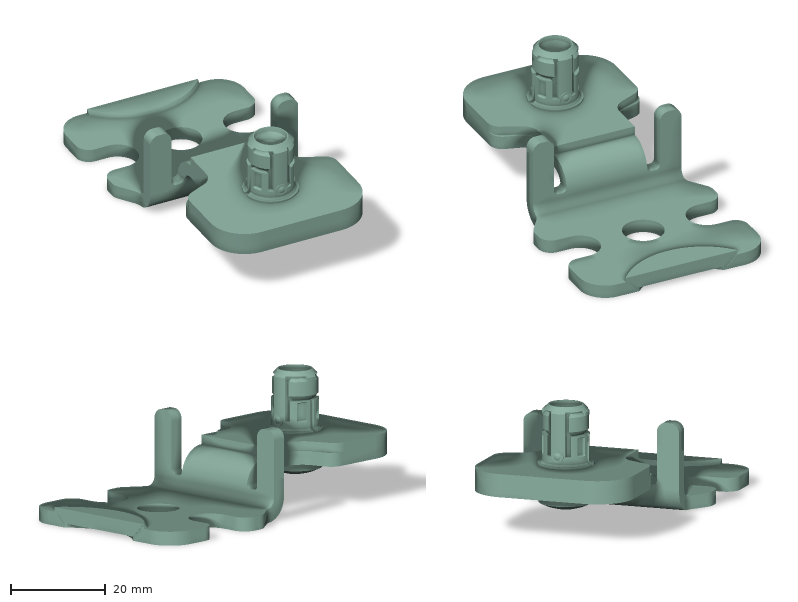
import cadquery as cq
import math

SHEET = 3.0
TOTAL_LENGTH = 74.0
BASE_HALF_WIDTH = 21.0
LEG_FRONT_X = 35.0
LEG_BACK_X = LEG_FRONT_X + SHEET
LEG_TOP_Z = 19.5
LEG_HALF_WIDTH = 17.5
LEG_WIDTH = 5.0
LEG_TIP_RADIUS = 2.0
LOWER_BEND_RADIUS = 2.0
UPPER_BEND_RADIUS = 3.0
LOWER_BEND_X = LEG_FRONT_X - LOWER_BEND_RADIUS
UPPER_BEND_X = LEG_BACK_X + UPPER_BEND_RADIUS
TONGUE_BOTTOM_Z = 9.0
TONGUE_TOP_Z = TONGUE_BOTTOM_Z + SHEET
UPPER_BEND_Z = TONGUE_BOTTOM_Z - UPPER_BEND_RADIUS
LEG_SLOT_CORNER_RADIUS = 1.0

BASE_CORNER_RADIUS = 6.0
BASE_EDGE_RADIUS = 3.0
SHOULDER_X = 28.0
HOLE_X = 18.0
HOLE_DIAMETER = 9.0
NOTCH_CENTRE_Y = 15.0

EMBOSS_HEIGHT = 1.0
EMBOSS_DEPTH_X = 7.0
EMBOSS_RADIUS = 17.5
EMBOSS_DRAFT = 0.6
EMBOSS_HALF_WIDTH = 13.1
EMBOSS_POCKET_HALF_WIDTH = 10.0
EMBOSS_POCKET_HEIGHT = 0.9
EMBOSS_MARK_DEPTH = 0.1
EMBOSS_CENTRE_X = EMBOSS_DEPTH_X - EMBOSS_RADIUS

NECK_HALF_WIDTH = 9.5
HEAD_HALF_WIDTH = LEG_HALF_WIDTH
HEAD_CORNER_RADIUS = 8.0
NECK_INNER_RADIUS = 4.0
NECK_OUTER_RADIUS = 3.0
NECK_END_X = 50.75
TONGUE_HEAD_X = 53.1
PAD_HEAD_X = 54.25

PAD_THICKNESS = 2.0
PAD_TOP_Z = TONGUE_TOP_Z + PAD_THICKNESS

FASTENER_X = 59.5
PIN_RADIUS = 3.9
PIN_HEAD_RADIUS = 6.0
PIN_HEAD_EDGE_RADIUS = 5.75
PIN_HEAD_EDGE_Z = 5.9
PIN_HEAD_BOTTOM_Z = 4.4
DRIVE_SLOT_WIDTH = 1.1
DRIVE_SLOT_DEPTH = 0.6
BAND_RADIUS = 4.9
BAND_BOTTOM_Z = 21.8
BAND_TOP_Z = 24.9
BAND_CHAMFER = 0.7
PIN_NECK_RADIUS = 4.0
DISH_RADIUS = 3.25
DISH_FLOOR_RADIUS = 2.25
DISH_FLOOR_Z = 24.9
PIN_RELIEF_HALF_WIDTH = 2.3

GROMMET_RADIUS = 5.05
FLANGE_RADIUS = 6.0
FLANGE_THICKNESS = 0.4
FLANGE_CHAMFER = 0.4
COLLAR_TOP_Z = 20.8
ARM_INNER_RADIUS = 4.15
ARM_HALF_WIDTH = 1.6
ARM_SLOT_HALF_WIDTH = 2.7
ARM_SLOT_BOTTOM_Z = 16.4
SLIT_WIDTH = 1.1
WINDOW_WIDTH = 2.3
WINDOW_DEPTH = 0.7
WINDOW_TAPER = 20.0
WINDOW_BOTTOM_Z = 16.3
WINDOW_TOP_Z = 20.5
WINDOW_CORNER_RADIUS = 0.3
WINDOW_ANGLE = 28.5
CAP_TOP_Z = 27.0
CAP_BOTTOM_Z = 26.05
CAP_RIM_RADIUS = 3.75
CAP_CONE_Z = CAP_TOP_Z - (GROMMET_RADIUS - CAP_RIM_RADIUS)
CAP_HOLE_TOP_RADIUS = 3.5
TAB_HALF_WIDTH = 1.2
TAB_CLEARANCE = 0.05
BUMP_Z = 16.5
BUMP_RADIUS = 1.3
BUMP_HEIGHT = 0.15
BUMP_DOME_RADIUS = 0.8
BUMP_REACH = 5.45


def box(x_range, y_range, z_range):
    lengths = [high - low for low, high in (x_range, y_range, z_range)]
    corner = (x_range[0], y_range[0], z_range[0])
    return cq.Workplane("XY").box(*lengths, centered=False).translate(corner)


def fastener_box(half_x, half_y, z_range):
    return box((FASTENER_X - half_x, FASTENER_X + half_x), (-half_y, half_y), z_range)


def fastener_cylinder(radius, z_range):
    height = z_range[1] - z_range[0]
    return cq.Workplane("XY", origin=(FASTENER_X, 0, z_range[0])).circle(radius).extrude(height)


def revolve_about_fastener(profile):
    """Turn a closed (radius, z) profile about the fastener axis."""
    return profile.revolve(360, (0, 0, 0), (0, 1, 0)).translate((FASTENER_X, 0, 0))


def rounded_head(start_x, head_x, bottom_z, thickness):
    """Neck that widens through an S-curve into a head with large rounded corners."""
    half_outline = [
        (start_x, NECK_HALF_WIDTH),
        (NECK_END_X, NECK_HALF_WIDTH),
        (head_x, HEAD_HALF_WIDTH),
        (TOTAL_LENGTH, HEAD_HALF_WIDTH),
    ]
    mirrored = [(x, -y) for x, y in reversed(half_outline)]
    plate = cq.Workplane("XY").polyline(half_outline + mirrored).close().extrude(thickness)
    corners = (
        (NECK_END_X, NECK_HALF_WIDTH, NECK_INNER_RADIUS),
        (head_x, HEAD_HALF_WIDTH, NECK_OUTER_RADIUS),
        (TOTAL_LENGTH, HEAD_HALF_WIDTH, HEAD_CORNER_RADIUS),
    )
    for x, y, radius in corners:
        for side in (-1, 1):
            near_corner = cq.selectors.NearestToPointSelector((x, side * y, thickness / 2))
            plate = plate.edges("|Z").edges(near_corner).fillet(radius)
    return plate.translate((0, 0, bottom_z))


def base_outline():
    """Plan of the base and upright: tapered shoulders and two open side notches."""
    half_outline = [
        (0, BASE_HALF_WIDTH),
        (SHOULDER_X, BASE_HALF_WIDTH),
        (LOWER_BEND_X, LEG_HALF_WIDTH),
        (LEG_BACK_X, LEG_HALF_WIDTH),
    ]
    mirrored = [(x, -y) for x, y in reversed(half_outline)]
    plan = cq.Workplane("XY").polyline(half_outline + mirrored).close().extrude(LEG_TOP_Z)
    notch_radius = HOLE_DIAMETER / 2
    for side in (-1, 1):
        notch_end = cq.Workplane("XY").center(HOLE_X, side * NOTCH_CENTRE_Y).circle(notch_radius)
        y_range = sorted((side * NOTCH_CENTRE_Y, side * BASE_HALF_WIDTH))
        mouth = box((HOLE_X - notch_radius, HOLE_X + notch_radius), y_range, (0, LEG_TOP_Z))
        plan = plan.cut(notch_end.extrude(LEG_TOP_Z)).cut(mouth)
    corners = (
        (0, BASE_HALF_WIDTH, BASE_CORNER_RADIUS),
        (HOLE_X - notch_radius, BASE_HALF_WIDTH, BASE_EDGE_RADIUS),
        (HOLE_X + notch_radius, BASE_HALF_WIDTH, BASE_EDGE_RADIUS),
        (SHOULDER_X, BASE_HALF_WIDTH, BASE_EDGE_RADIUS),
        (LOWER_BEND_X, LEG_HALF_WIDTH, BASE_EDGE_RADIUS),
    )
    for x, y, radius in corners:
        for side in (-1, 1):
            near_corner = cq.selectors.NearestToPointSelector((x, side * y, LEG_TOP_Z / 2))
            plan = plan.edges("|Z").edges(near_corner).fillet(radius)
    return plan


def base_and_upright():
    outer_radius = LOWER_BEND_RADIUS + SHEET
    profile = (
        cq.Workplane("XZ")
        .moveTo(0, 0)
        .lineTo(LOWER_BEND_X, 0)
        .radiusArc((LEG_BACK_X, outer_radius), -outer_radius)
        .lineTo(LEG_BACK_X, LEG_TOP_Z)
        .lineTo(LEG_FRONT_X, LEG_TOP_Z)
        .lineTo(LEG_FRONT_X, outer_radius)
        .radiusArc((LOWER_BEND_X, SHEET), LOWER_BEND_RADIUS)
        .lineTo(0, SHEET)
        .close()
        .extrude(BASE_HALF_WIDTH, both=True)
    )
    body = profile.intersect(base_outline())
    inner_y = LEG_HALF_WIDTH - LEG_WIDTH
    sheet_x = (LEG_FRONT_X, LEG_BACK_X)
    gap_z = (UPPER_BEND_Z, LEG_TOP_Z)
    body = body.cut(box(sheet_x, (-NECK_HALF_WIDTH, NECK_HALF_WIDTH), gap_z))
    for side in (-1, 1):
        slot = box(sheet_x, sorted((side * NECK_HALF_WIDTH, side * inner_y)), gap_z)
        body = body.cut(slot.edges("|X and <Z").fillet(LEG_SLOT_CORNER_RADIUS))
    return body.edges("|X and >Z").fillet(LEG_TIP_RADIUS)


def tongue_bend():
    """Quarter bend from the upright into the tongue."""
    outer_radius = UPPER_BEND_RADIUS + SHEET
    return (
        cq.Workplane("XZ")
        .moveTo(LEG_FRONT_X, UPPER_BEND_Z)
        .radiusArc((UPPER_BEND_X, TONGUE_TOP_Z), outer_radius)
        .lineTo(UPPER_BEND_X, TONGUE_BOTTOM_Z)
        .radiusArc((LEG_BACK_X, UPPER_BEND_Z), -UPPER_BEND_RADIUS)
        .close()
        .extrude(NECK_HALF_WIDTH, both=True)
    )


def emboss_segment(radius, draft, bottom_z, height):
    """Half-moon cut from a cone, trimmed to the free end and to the emboss width."""
    segment = (
        cq.Workplane("XY", origin=(EMBOSS_CENTRE_X, 0, bottom_z))
        .circle(radius)
        .workplane(offset=height)
        .circle(radius - draft)
        .loft()
    )
    y_range = (-EMBOSS_HALF_WIDTH, EMBOSS_HALF_WIDTH)
    limits = box((0, EMBOSS_DEPTH_X), y_range, (bottom_z, bottom_z + height))
    return segment.intersect(limits)


def emboss_mark(side):
    """Shallow slanted strip on the free end, running from the raised side to the pocket below."""
    outline = [
        (side * EMBOSS_HALF_WIDTH, SHEET),
        (side * EMBOSS_HALF_WIDTH, SHEET + EMBOSS_HEIGHT),
        (side * EMBOSS_POCKET_HALF_WIDTH, EMBOSS_POCKET_HEIGHT),
        (side * EMBOSS_POCKET_HALF_WIDTH, 0),
    ]
    return cq.Workplane("YZ").polyline(outline).close().extrude(EMBOSS_MARK_DEPTH)


def make_bracket():
    body = base_and_upright().union(tongue_bend())
    body = body.union(rounded_head(UPPER_BEND_X, TONGUE_HEAD_X, TONGUE_BOTTOM_Z, SHEET))
    body = body.cut(cq.Workplane("XY").center(HOLE_X, 0).circle(HOLE_DIAMETER / 2).extrude(SHEET))
    body = body.union(emboss_segment(EMBOSS_RADIUS, EMBOSS_DRAFT, SHEET, EMBOSS_HEIGHT))
    pocket_radius = math.hypot(EMBOSS_CENTRE_X, EMBOSS_POCKET_HALF_WIDTH)
    body = body.cut(emboss_segment(pocket_radius, 0, 0, EMBOSS_POCKET_HEIGHT))
    for side in (-1, 1):
        body = body.cut(emboss_mark(side))
    return body.cut(fastener_cylinder(PIN_RADIUS, (TONGUE_BOTTOM_Z, TONGUE_TOP_Z)))


def make_pad():
    pad = rounded_head(UPPER_BEND_X, PAD_HEAD_X, TONGUE_TOP_Z, PAD_THICKNESS)
    return pad.cut(fastener_cylinder(PIN_RADIUS, (TONGUE_TOP_Z, PAD_TOP_Z)))


def make_pin():
    """Domed, slotted head; straight shank; dished top with a wide band, cut back for the arms."""
    rise = PIN_HEAD_EDGE_Z - PIN_HEAD_BOTTOM_Z
    dome_radius = (PIN_HEAD_EDGE_RADIUS**2 + rise**2) / (2 * rise)
    head_inset = PIN_HEAD_RADIUS - PIN_HEAD_EDGE_RADIUS
    head_height = TONGUE_BOTTOM_Z - PIN_HEAD_EDGE_Z
    head_side_radius = (head_inset**2 + head_height**2) / (2 * head_inset)
    profile = (
        cq.Workplane("XZ")
        .moveTo(0, PIN_HEAD_BOTTOM_Z)
        .radiusArc((PIN_HEAD_EDGE_RADIUS, PIN_HEAD_EDGE_Z), -dome_radius)
        .radiusArc((PIN_HEAD_RADIUS, TONGUE_BOTTOM_Z), -head_side_radius)
        .lineTo(PIN_RADIUS, TONGUE_BOTTOM_Z)
        .lineTo(PIN_RADIUS, COLLAR_TOP_Z)
        .lineTo(BAND_RADIUS, BAND_BOTTOM_Z)
        .lineTo(BAND_RADIUS, BAND_TOP_Z)
        .lineTo(BAND_RADIUS - BAND_CHAMFER, BAND_TOP_Z + BAND_CHAMFER)
        .lineTo(PIN_NECK_RADIUS, BAND_TOP_Z + BAND_CHAMFER)
        .lineTo(PIN_NECK_RADIUS, CAP_BOTTOM_Z)
        .lineTo(DISH_RADIUS, CAP_BOTTOM_Z)
        .lineTo(DISH_FLOOR_RADIUS, DISH_FLOOR_Z)
        .lineTo(0, DISH_FLOOR_Z)
        .close()
    )
    pin = revolve_about_fastener(profile)
    slot_z = (PIN_HEAD_BOTTOM_Z, PIN_HEAD_BOTTOM_Z + DRIVE_SLOT_DEPTH)
    pin = pin.cut(fastener_box(DRIVE_SLOT_WIDTH / 2, PIN_HEAD_RADIUS, slot_z))
    relief = fastener_box(BAND_RADIUS, PIN_RELIEF_HALF_WIDTH, (COLLAR_TOP_Z, CAP_BOTTOM_Z))
    relief = relief.cut(fastener_cylinder(PIN_RADIUS, (COLLAR_TOP_Z, CAP_BOTTOM_Z)))
    return pin.cut(relief)


def grommet_shell():
    """Flanged sleeve that closes into a conical cap with a tapered hole."""
    flange_top_z = PAD_TOP_Z + FLANGE_THICKNESS
    chamfer_radius = BAND_RADIUS - BAND_CHAMFER + TAB_CLEARANCE
    profile = (
        cq.Workplane("XZ")
        .moveTo(PIN_RADIUS, PAD_TOP_Z)
        .lineTo(FLANGE_RADIUS, PAD_TOP_Z)
        .lineTo(FLANGE_RADIUS, flange_top_z)
        .lineTo(GROMMET_RADIUS + FLANGE_CHAMFER, flange_top_z)
        .lineTo(GROMMET_RADIUS, flange_top_z + FLANGE_CHAMFER)
        .lineTo(GROMMET_RADIUS, CAP_CONE_Z)
        .lineTo(CAP_RIM_RADIUS, CAP_TOP_Z)
        .lineTo(CAP_HOLE_TOP_RADIUS, CAP_TOP_Z)
        .lineTo(DISH_RADIUS, CAP_BOTTOM_Z)
        .lineTo(chamfer_radius, CAP_BOTTOM_Z)
        .lineTo(chamfer_radius, BAND_TOP_Z + BAND_CHAMFER)
        .lineTo(BAND_RADIUS + TAB_CLEARANCE, BAND_TOP_Z)
        .lineTo(ARM_INNER_RADIUS, BAND_TOP_Z)
        .lineTo(ARM_INNER_RADIUS, COLLAR_TOP_Z)
        .lineTo(PIN_RADIUS, COLLAR_TOP_Z)
        .close()
    )
    return revolve_about_fastener(profile)


def grommet_openings():
    """Boxes that leave a split collar, two free arms beside slots, and two tabs under the cap."""
    openings = [fastener_box(SLIT_WIDTH / 2, FLANGE_RADIUS, (PAD_TOP_Z, COLLAR_TOP_Z))]
    for y_side in (-1, 1):
        outside_arms = sorted((y_side * ARM_HALF_WIDTH, y_side * FLANGE_RADIUS))
        beside_arms = sorted((y_side * ARM_HALF_WIDTH, y_side * ARM_SLOT_HALF_WIDTH))
        full_x = (FASTENER_X - FLANGE_RADIUS, FASTENER_X + FLANGE_RADIUS)
        openings.append(box(full_x, outside_arms, (COLLAR_TOP_Z, BAND_TOP_Z)))
        openings.append(box(full_x, beside_arms, (ARM_SLOT_BOTTOM_Z, COLLAR_TOP_Z)))
        for x_side in (-1, 1):
            offsets = sorted((x_side * TAB_HALF_WIDTH, x_side * FLANGE_RADIUS))
            beside_tab = [FASTENER_X + offset for offset in offsets]
            openings.append(box(beside_tab, outside_arms, (BAND_TOP_Z, CAP_BOTTOM_Z)))
    return openings


def grommet_window(angle_from_y):
    """Blind recess with rounded corners and tapered walls, sunk into the collar."""
    window_height = WINDOW_TOP_Z - WINDOW_BOTTOM_Z
    centre = (FASTENER_X, GROMMET_RADIUS, (WINDOW_TOP_Z + WINDOW_BOTTOM_Z) / 2)
    window = (
        cq.Workplane("XZ", origin=centre)
        .sketch()
        .rect(WINDOW_WIDTH, window_height)
        .vertices()
        .fillet(WINDOW_CORNER_RADIUS)
        .finalize()
        .extrude(WINDOW_DEPTH, taper=WINDOW_TAPER)
    )
    return window.rotate((FASTENER_X, 0, 0), (FASTENER_X, 0, 1), angle_from_y)


def grommet_bump(side):
    """Round pad with a domed tip at the foot of an arm."""
    pad_reach = GROMMET_RADIUS + BUMP_HEIGHT
    dome_rise = BUMP_REACH - pad_reach
    sphere_radius = (BUMP_DOME_RADIUS**2 + dome_rise**2) / (2 * dome_rise)
    bump = (
        cq.Workplane("XZ")
        .moveTo(ARM_INNER_RADIUS + BUMP_HEIGHT, 0)
        .lineTo(BUMP_REACH, 0)
        .radiusArc((pad_reach, BUMP_DOME_RADIUS), -sphere_radius)
        .lineTo(pad_reach, BUMP_RADIUS)
        .lineTo(ARM_INNER_RADIUS + BUMP_HEIGHT, BUMP_RADIUS)
        .close()
        .revolve(360, (0, 0, 0), (1, 0, 0))
    )
    half_turn = 0 if side > 0 else 180
    return bump.rotate((0, 0, 0), (0, 0, 1), half_turn).translate((FASTENER_X, 0, BUMP_Z))


def make_grommet():
    grommet = grommet_shell()
    for opening in grommet_openings():
        grommet = grommet.cut(opening)
    for angle in (WINDOW_ANGLE, 180 - WINDOW_ANGLE, 180 + WINDOW_ANGLE, -WINDOW_ANGLE):
        grommet = grommet.cut(grommet_window(angle))
    for side in (-1, 1):
        grommet = grommet.union(grommet_bump(side))
    return grommet


bracket = make_bracket()
pad = make_pad()
pin = make_pin()
grommet = make_grommet()
bodies = [bracket, pad, pin, grommet]
result = cq.Compound.makeCompound([body.solids().val() for body in bodies])